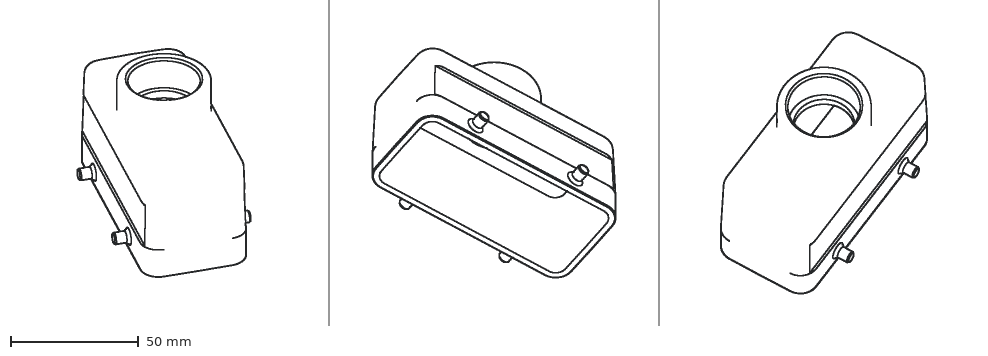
import cadquery as cq
import math

LENGTH = 93.5
WIDTH = 43.1
END_CROWN = 0.14
SKIRT_HEIGHT = 13.0
ROOF_HEIGHT = 44.9
ROOF_CROWN = 0.3
TOTAL_HEIGHT = 61.0
DRAFT_ANGLE = 1.5
CORNER_RADIUS = 7.5
ROOF_EDGE_RADIUS = 3.1
RIM_CHAMFER = 0.4

WALL = 2.8
CEILING_HEIGHT = 44.0

COLLAR_DIAMETER = 37.0
COLLAR_EDGE_RADIUS = 0.9
COLLAR_FOOT_RADIUS = 2.0
BORE_DIAMETER = 28.3
BORE_CHAMFER = 0.9
BORE_FLOOR = 47.4
CABLE_HOLE_DIAMETER = 24.0

RECESS_DEPTH = 0.8
RECESS_BOTTOM = SKIRT_HEIGHT
RECESS_TOP = 32.3
RECESS_EDGE_RISE = 0.6

PIN_SPAN = 55.6
PIN_SPACING = 47.5
PIN_HEIGHT = 6.2
PIN_DIAMETER = 4.8
PIN_TIP_DIAMETER = 4.0
PIN_TIP_LENGTH = 0.6
PIN_FOOT_DIAMETER = 7.0
PIN_FOOT_LENGTH = 1.4

SIDE = WIDTH / 2
COLLAR_RADIUS = COLLAR_DIAMETER / 2
TOLERANCE = 0.01


def half_block(bottom, top, draft=0.0, inset=0.0):
    """The +Y half of a rounded box whose ends peak slightly at Y = 0."""
    tip = LENGTH / 2 - inset
    corner = tip - END_CROWN
    side = SIDE - inset
    outline = [(tip, 0), (corner, side), (-corner, side), (-tip, 0), (-corner, -side), (corner, -side)]
    block = cq.Workplane("XY").workplane(offset=bottom).polyline(outline).close()
    block = block.extrude(top - bottom, taper=draft)
    keep = cq.Workplane("XY").box(LENGTH, SIDE, top - bottom, centered=(True, False, False))
    block = block.intersect(keep.translate((0, 0, bottom)))
    upright_corners = cq.selectors.BoxSelector(
        (-LENGTH, SIDE / 2, bottom + TOLERANCE), (LENGTH, LENGTH, top - TOLERANCE)
    )
    return block.edges(upright_corners).fillet(CORNER_RADIUS - inset)


def both_sides(half):
    """The +Y feature together with its mirror image across Y = 0."""
    return half.union(half.mirror("XZ"))


def half_skirt():
    """Straight lower band with a chamfered bottom rim."""
    block = half_block(0, SKIRT_HEIGHT)
    rim = cq.selectors.BoxSelector((-LENGTH, TOLERANCE, -0.9), (LENGTH, LENGTH, 0.9))
    return block.edges(rim).chamfer(RIM_CHAMFER)


def half_hood():
    """Drafted upper body with a sloping roof and a rounded roof edge."""
    eaves = ROOF_HEIGHT - ROOF_CROWN
    under_roof = (
        cq.Workplane("YZ")
        .polyline([(0, 0), (SIDE, 0), (SIDE, eaves), (0, ROOF_HEIGHT)])
        .close()
        .extrude(LENGTH / 2, both=True)
    )
    block = half_block(SKIRT_HEIGHT, TOTAL_HEIGHT, DRAFT_ANGLE).intersect(under_roof)
    roof_edge = cq.selectors.BoxSelector(
        (-LENGTH, TOLERANCE, eaves - TOLERANCE), (LENGTH, LENGTH, TOTAL_HEIGHT)
    )
    return block.edges(roof_edge).fillet(ROOF_EDGE_RADIUS)


def add_collar(body):
    """Join the collar and fillet the line where it stands on the roof."""
    collar = (
        cq.Workplane("XY")
        .workplane(offset=SKIRT_HEIGHT)
        .circle(COLLAR_RADIUS)
        .extrude(TOTAL_HEIGHT - SKIRT_HEIGHT)
    )
    joined = body.union(collar)

    def on_collar(point):
        return abs(math.hypot(point.x, point.y) - COLLAR_RADIUS) < TOLERANCE

    foot = [
        edge
        for edge in joined.edges().vals()
        if on_collar(edge.startPoint())
        and on_collar(edge.endPoint())
        and edge.BoundingBox().zmax < ROOF_HEIGHT + TOLERANCE
    ]
    joined = joined.newObject(foot).fillet(COLLAR_FOOT_RADIUS)
    return joined.faces(">Z").edges().fillet(COLLAR_EDGE_RADIUS)


def recess():
    """Long shallow cut whose floor keeps the draft of the wall."""
    draft = math.tan(math.radians(DRAFT_ANGLE))

    def wall_at(height):
        return SIDE - (height - SKIRT_HEIGHT) * draft

    floor_bottom = RECESS_BOTTOM + RECESS_EDGE_RISE
    floor_top = RECESS_TOP - RECESS_EDGE_RISE
    section = [
        (wall_at(floor_bottom) - RECESS_DEPTH, floor_bottom),
        (wall_at(RECESS_BOTTOM) + RECESS_DEPTH, RECESS_BOTTOM - RECESS_EDGE_RISE),
        (wall_at(RECESS_TOP) + RECESS_DEPTH, RECESS_TOP + RECESS_EDGE_RISE),
        (wall_at(floor_top) - RECESS_DEPTH, floor_top),
    ]
    return cq.Workplane("YZ").polyline(section).close().extrude(LENGTH / 2, both=True)


def pin(x):
    """Locking pin along +Y with a conical foot and a chamfered tip."""
    root = SIDE - WALL / 2
    tip = PIN_SPAN / 2
    profile = [
        (0, root),
        (PIN_FOOT_DIAMETER / 2, root),
        (PIN_FOOT_DIAMETER / 2, SIDE),
        (PIN_DIAMETER / 2, SIDE + PIN_FOOT_LENGTH),
        (PIN_DIAMETER / 2, tip - PIN_TIP_LENGTH),
        (PIN_TIP_DIAMETER / 2, tip),
        (0, tip),
    ]
    solid = cq.Workplane("XY").polyline(profile).close().revolve(360, (0, 0), (0, 1))
    return solid.translate((x, 0, PIN_HEIGHT))


def cable_entry():
    """Stepped bore through the collar down into the hollow."""
    rim_radius = BORE_DIAMETER / 2 + BORE_CHAMFER
    start = CEILING_HEIGHT - WALL
    profile = [
        (0, start),
        (CABLE_HOLE_DIAMETER / 2, start),
        (CABLE_HOLE_DIAMETER / 2, BORE_FLOOR),
        (BORE_DIAMETER / 2, BORE_FLOOR),
        (BORE_DIAMETER / 2, TOTAL_HEIGHT - BORE_CHAMFER),
        (rim_radius, TOTAL_HEIGHT),
        (0, TOTAL_HEIGHT),
    ]
    return cq.Workplane("XZ").polyline(profile).close().revolve(360, (0, 0), (0, 1))


hood = add_collar(both_sides(half_hood()))
hood = hood.cut(both_sides(recess())).union(both_sides(half_skirt()))
for pin_x in (-PIN_SPACING / 2, PIN_SPACING / 2):
    hood = hood.union(both_sides(pin(pin_x)))

hollow = both_sides(half_block(0, CEILING_HEIGHT, DRAFT_ANGLE, WALL))
result = hood.cut(hollow).cut(cable_entry())